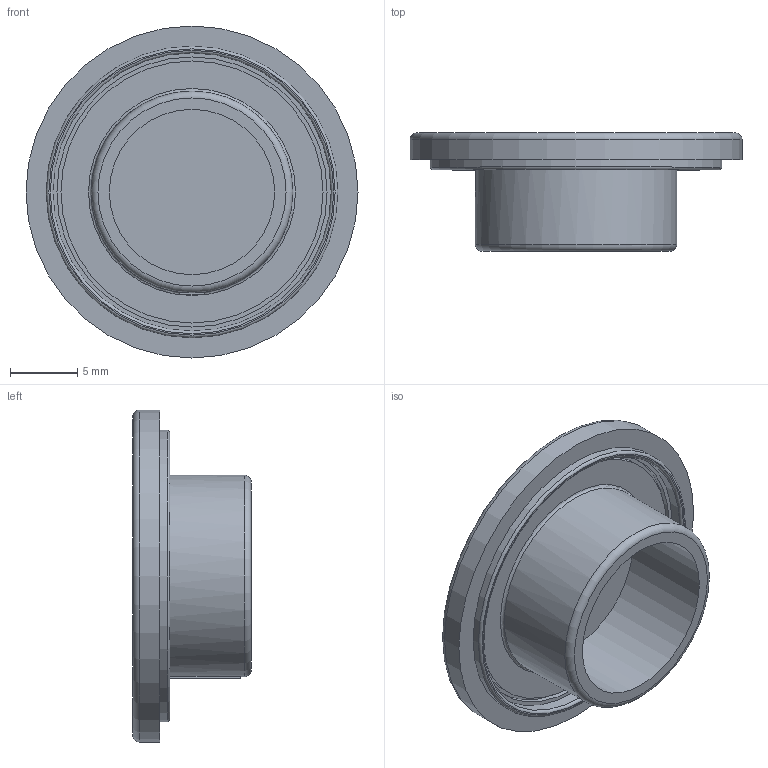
import cadquery as cq

total_length = 8.8

flange_radius = 12.35
flange_thickness = 2.0
flange_fillet = 0.5

ring_outer_radius = 10.85
ring_width = 0.5
ring_inner_radius = ring_outer_radius - ring_width
ring_height = 0.75
ring_top = flange_thickness + ring_height
ring_fillet = 0.2

recess_floor = 1.72
ledge_width = 0.3
groove_outer_radius = ring_inner_radius - ledge_width
groove_width = 0.3
groove_inner_radius = groove_outer_radius - groove_width
groove_depth = 0.4

boss_radius = 7.5
boss_tip_fillet = 0.5
boss_root_fillet = 0.2
bore_radius = 6.15
bore_floor = 1.8

pad_width = 1.85
pad_height = 0.1
pad_bottom = boss_radius + pad_height
pad_setback = 0.8
pad_end = total_length - pad_setback


def disc(radius, start, end):
    """Solid disc about the Y axis between two levels."""
    return cq.Workplane("XZ", origin=(0, -start, 0)).circle(radius).extrude(end - start)


def washer(outer_radius, inner_radius, start, end):
    """Disc with a concentric hole."""
    return disc(outer_radius, start, end).cut(disc(inner_radius, start, end))


def make_flange():
    """Flange with a rounded back edge and the recess and groove cut in its front."""
    flange = disc(flange_radius, 0, flange_thickness).faces(">Y").edges().fillet(flange_fillet)
    recess = disc(ring_inner_radius, recess_floor, flange_thickness)
    groove = washer(groove_outer_radius, groove_inner_radius, recess_floor - groove_depth, recess_floor)
    return flange.cut(recess).cut(groove)


def make_ring():
    """Ring with both crest edges rounded, seated at the level of the recess floor."""
    ring = washer(ring_outer_radius, ring_inner_radius, recess_floor, ring_top)
    return ring.faces("<Y").edges().fillet(ring_fillet)


def make_boss():
    """Solid boss with a rounded tip and a concave fillet at its root."""
    root_end = recess_floor + boss_root_fillet
    foot_radius = boss_radius + boss_root_fillet
    tip_level = total_length - boss_tip_fillet
    tip_radius = boss_radius - boss_tip_fillet
    half_profile = (
        cq.Workplane("XY")
        .moveTo(0, -recess_floor)
        .lineTo(foot_radius, -recess_floor)
        .radiusArc((boss_radius, -root_end), -boss_root_fillet)
        .lineTo(boss_radius, -tip_level)
        .radiusArc((tip_radius, -total_length), boss_tip_fillet)
        .lineTo(0, -total_length)
        .close()
    )
    return half_profile.revolve(360, (0, 0, 0), (0, 1, 0))


def make_pad():
    """Pad reaching up into the boss wall without entering the bore."""
    wall_middle = (boss_radius + bore_radius) / 2
    return cq.Workplane("XY").box(
        pad_width, pad_end - recess_floor, pad_bottom - wall_middle, centered=(True, False, False)
    ).translate((0, -pad_end, -pad_bottom))


bore = disc(bore_radius, bore_floor, total_length)

result = make_flange().union(make_ring()).union(make_boss()).union(make_pad()).cut(bore)